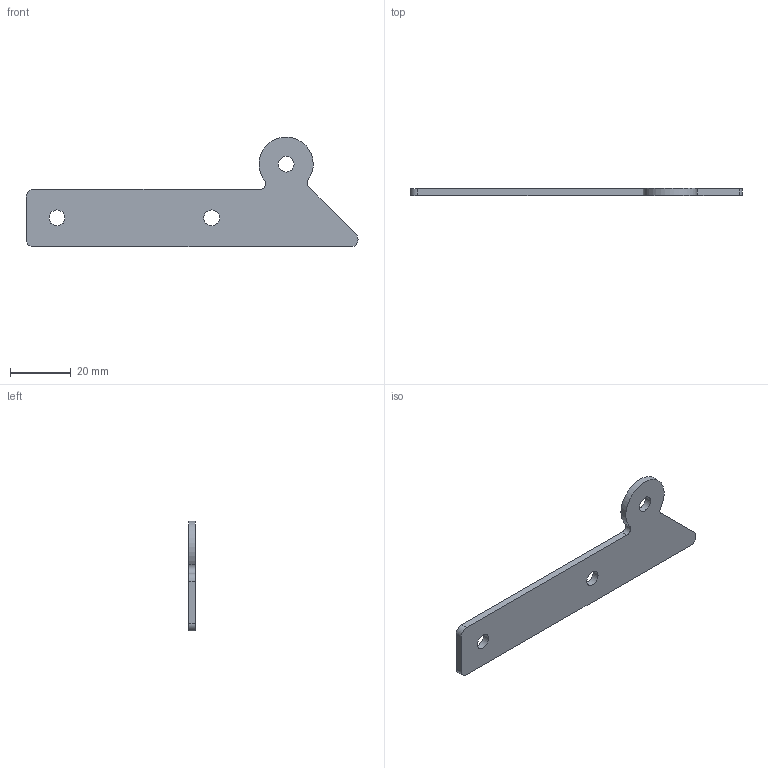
import cadquery as cq
import math

length = 108.93
height = 36.07
thickness = 2.29
strip_height = 18.92
corner_radius = 2.54

eye_radius = 8.89
eye_x = 85.34
eye_z = height - eye_radius
neck_fillet_radius = 1.78

hole_diameter = 5.2
first_hole_x = 10.16
hole_spacing = 50.8
strip_hole_z = 9.53

tip_x = length + corner_radius * math.sqrt(2)
slope_top_x = eye_x
slope_top_z = tip_x - slope_top_x


def strip_profile():
    """Strip with a 45-degree end whose slope continues up into the eye."""
    return (
        cq.Workplane("XZ")
        .moveTo(0, 0)
        .lineTo(tip_x, 0)
        .lineTo(slope_top_x, slope_top_z)
        .lineTo(slope_top_x, strip_height)
        .lineTo(0, strip_height)
        .close()
        .extrude(-thickness)
    )


def cylinder_at(x, z, radius):
    """Cylinder across the full thickness, centred at (x, z)."""
    return cq.Workplane("XZ").center(x, z).circle(radius).extrude(-thickness)


def edge_near(solid, x, z):
    """The edge across the thickness that lies closest to (x, z)."""
    point = (x, thickness / 2, z)
    return solid.edges("|Y").edges(cq.NearestToPointSelector(point))


def round_strip_corners(solid):
    """Round the two left corners and the pointed tip."""
    for x, z in [(0, 0), (0, strip_height), (tip_x, 0)]:
        solid = edge_near(solid, x, z).fillet(corner_radius)
    return solid


def fillet_neck(solid):
    """Fillet the two inside corners where the eye meets the strip."""
    top_edge_drop = eye_z - strip_height
    left_x = eye_x - math.sqrt(eye_radius**2 - top_edge_drop**2)

    slope_distance = (tip_x - eye_x - eye_z) / math.sqrt(2)
    half_chord = math.sqrt(eye_radius**2 - slope_distance**2)
    right_x = eye_x + (slope_distance + half_chord) / math.sqrt(2)
    right_z = eye_z + (slope_distance - half_chord) / math.sqrt(2)

    for x, z in [(left_x, strip_height), (right_x, right_z)]:
        solid = edge_near(solid, x, z).fillet(neck_fillet_radius)
    return solid


def drill_holes(solid):
    """Two holes on the strip and one in the middle of the eye."""
    hole_centres = [
        (first_hole_x, strip_hole_z),
        (first_hole_x + hole_spacing, strip_hole_z),
        (eye_x, eye_z),
    ]
    for x, z in hole_centres:
        solid = solid.cut(cylinder_at(x, z, hole_diameter / 2))
    return solid


plate = strip_profile().union(cylinder_at(eye_x, eye_z, eye_radius))
plate = round_strip_corners(plate)
plate = fillet_neck(plate)
result = drill_holes(plate)